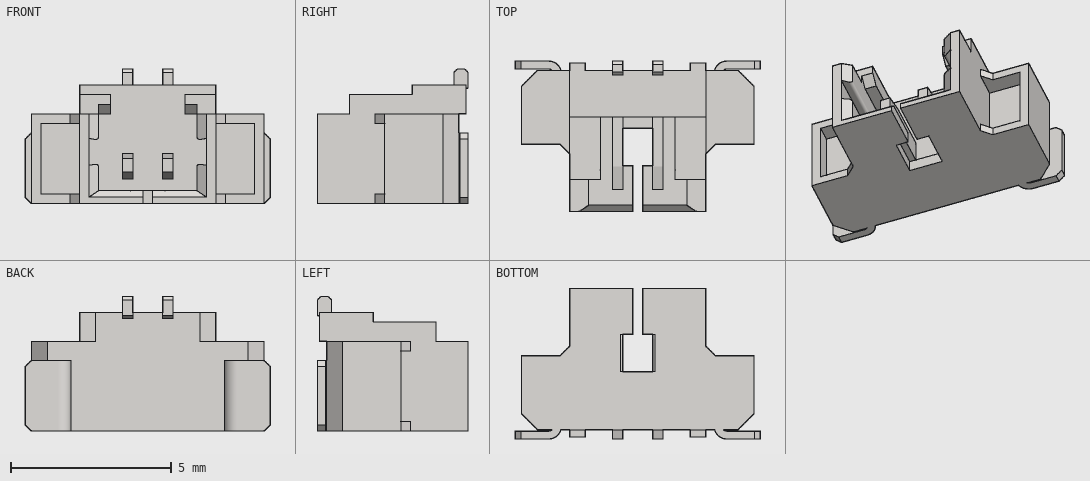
import cadquery as cq

total_width = 7.65
total_depth = 4.7
total_height = 4.2

body_half = 2.13
back_y = 4.41
wall_top = 2.8
rail_top = 3.405
roof_top = 3.7
roof_front_y = 2.95
rail_front_y = 0.995
ear_width = 0.5
ear_back_y = 4.635

side_wall = 0.6
floor_top = 0.405
mouth_lead_width = 0.3
mouth_lead_height = 0.2
mouth_lead_depth = 0.2
overhang = 0.37
overhang_chamfer = 0.3

groove_depth = 0.3
groove_mid_z = 1.615
groove_root_height = 0.835
groove_mouth_height = 0.74
groove_lip_radius = 0.09

floor_slot_width = 0.3
window_half = 0.54
window_front_y = 1.43
window_back_y = 2.59

wing_half = 3.625
wing_front_y = 2.095
wing_wall = 0.3
wing_back_chamfer = 0.5
wing_pocket_back_y = 2.59

tab_height = 2.2
tab_thickness = 0.25
tab_bend_x = 2.78
tab_bend_inner_radius = 0.145
tab_corner_chamfer = 0.19
tab_embed = 0.08

pin_pitch = 1.255
pin_width = 0.32
blade_bottom = 0.77
blade_top = 1.56
blade_tip_y = 0.695
blade_taper_top_length = 0.695
blade_taper_top_drop = 0.16
blade_taper_bottom_length = 0.88
blade_taper_bottom_rise = 0.21
tail_thickness = 0.44
tail_chamfer = 0.11
tail_bottom = 3.6
tail_bottom_drop = 0.14


def box(x0, x1, y0, y1, z0, z1):
    """Axis-aligned box between two opposite corners."""
    return cq.Workplane("XY").box(x1 - x0, y1 - y0, z1 - z0, centered=False).translate((x0, y0, z0))


def both_sides(left):
    """The left-hand solid together with its mirror image."""
    return left.union(left.mirror("YZ"))


def along_x(points, x_mid, width):
    """Prism with a (y, z) outline, centred on x_mid."""
    return cq.Workplane("YZ", origin=(x_mid - width / 2, 0, 0)).polyline(points).close().extrude(width)


def housing():
    """Walls, rails and roof as one stepped block, with two ears at the back."""
    outline = [
        (0, 0),
        (back_y, 0),
        (back_y, roof_top),
        (roof_front_y, roof_top),
        (roof_front_y, rail_top),
        (rail_front_y, rail_top),
        (rail_front_y, wall_top),
        (0, wall_top),
    ]
    ear = box(-body_half, ear_width - body_half, back_y, ear_back_y, wall_top, roof_top)
    return along_x(outline, 0, 2 * body_half).union(both_sides(ear))


def cavity():
    """Mating space, narrower between the rails, with a lead-in at the mouth."""
    half = body_half - side_wall
    rail_half = half - overhang
    room = box(-half, half, 0, roof_front_y, floor_top, wall_top)
    rail_gap = box(-rail_half, rail_half, 0, roof_front_y, wall_top, roof_top)
    rail_relief = along_x(
        [
            (rail_front_y, wall_top),
            (rail_front_y + overhang_chamfer, wall_top),
            (rail_front_y, wall_top + overhang_chamfer),
        ],
        0,
        2 * half,
    )

    def mouth_outline(y, side_growth, floor_growth):
        x = half + side_growth
        z = floor_top - floor_growth
        points = [(-x, z, y), (x, z, y), (x, wall_top, y), (-x, wall_top, y)]
        return cq.Wire.makePolygon([cq.Vector(px, py, pz) for px, pz, py in points], close=True)

    lead_in = cq.Solid.makeLoft(
        [
            mouth_outline(0, mouth_lead_width, mouth_lead_height),
            mouth_outline(mouth_lead_depth, 0, 0),
        ],
        True,
    )
    return room.union(rail_gap).union(rail_relief).union(cq.Workplane(lead_in))


def guide_groove(body):
    """Cut a groove with rounded lips along the left and right cavity walls."""
    lip_x = -(body_half - side_wall)
    root_x = lip_x - groove_depth
    root = groove_root_height / 2
    lip = groove_mouth_height / 2
    groove = (
        cq.Workplane("XZ", origin=(0, 0, groove_mid_z))
        .polyline([(root_x, -root), (lip_x, -lip), (lip_x, lip), (root_x, root)])
        .close()
        .extrude(-roof_front_y)
    )
    body = body.cut(both_sides(groove))
    tolerance = 0.01
    for x in (lip_x, -lip_x):
        for z in (groove_mid_z - lip, groove_mid_z + lip):
            picker = cq.selectors.BoxSelector(
                (x - tolerance, 0, z - tolerance),
                (x + tolerance, roof_front_y, z + tolerance),
            )
            body = body.edges(picker).fillet(groove_lip_radius)
    return body


def floor_openings():
    """Slot from the mouth leading into a wider window below the pins."""
    slot = box(-floor_slot_width / 2, floor_slot_width / 2, 0, window_front_y, 0, floor_top)
    window = box(-window_half, window_half, window_front_y, window_back_y, 0, floor_top)
    return slot.union(window)


def left_wing():
    """Side block with a front pocket, flaring out to meet the housing."""
    outline = [
        (-body_half, back_y),
        (wing_back_chamfer - wing_half, back_y),
        (-wing_half, back_y - wing_back_chamfer),
        (-wing_half, wing_front_y),
        (-body_half - wing_wall, wing_front_y),
        (-body_half, wing_front_y - wing_wall),
    ]
    wing = cq.Workplane("XY").polyline(outline).close().extrude(wall_top)
    pocket = box(
        wing_wall - wing_half,
        -body_half,
        wing_front_y - wing_wall,
        wing_pocket_back_y,
        wing_wall,
        wall_top - wing_wall,
    )
    return wing.cut(pocket)


def left_tab():
    """Sheet-metal tab leaving the wing's back face and bending outward."""
    outer_radius = tab_bend_inner_radius + tab_thickness
    inner_y = total_depth - tab_thickness
    bend_y = total_depth - outer_radius
    end_x = -total_width / 2
    tab = (
        cq.Workplane("XY")
        .moveTo(end_x, inner_y)
        .lineTo(end_x, total_depth)
        .lineTo(-tab_bend_x, total_depth)
        .radiusArc((outer_radius - tab_bend_x, bend_y), outer_radius)
        .lineTo(outer_radius - tab_bend_x, bend_y - tab_embed)
        .lineTo(tab_bend_inner_radius - tab_bend_x, bend_y - tab_embed)
        .lineTo(tab_bend_inner_radius - tab_bend_x, bend_y)
        .radiusArc((-tab_bend_x, inner_y), -tab_bend_inner_radius)
        .close()
        .extrude(tab_height)
    )
    return tab.faces("<X").edges("|Y").chamfer(tab_corner_chamfer)


def pin(x):
    """Tapered contact blade in the cavity and the solder tail behind the roof."""
    blade = along_x(
        [
            (roof_front_y, blade_bottom),
            (blade_tip_y + blade_taper_bottom_length, blade_bottom),
            (blade_tip_y, blade_bottom + blade_taper_bottom_rise),
            (blade_tip_y, blade_top - blade_taper_top_drop),
            (blade_tip_y + blade_taper_top_length, blade_top),
            (roof_front_y, blade_top),
        ],
        x,
        pin_width,
    )
    tail_front_y = total_depth - tail_thickness
    tail = along_x(
        [
            (total_depth, tail_bottom),
            (total_depth, total_height - tail_chamfer),
            (total_depth - tail_chamfer, total_height),
            (tail_front_y + tail_chamfer, total_height),
            (tail_front_y, total_height - tail_chamfer),
            (tail_front_y, tail_bottom - tail_bottom_drop),
        ],
        x,
        pin_width,
    )
    return blade.union(tail)


result = guide_groove(housing().cut(cavity())).cut(floor_openings())
result = result.union(both_sides(left_wing())).union(both_sides(left_tab()))
for pin_x in (-pin_pitch / 2, pin_pitch / 2):
    result = result.union(pin(pin_x))